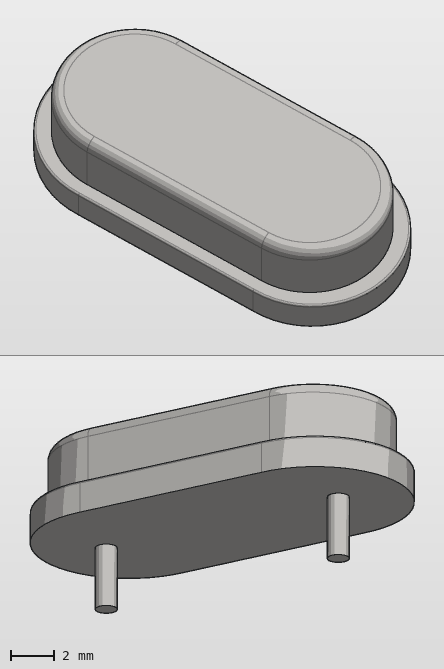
import cadquery as cq

base_length = 19.0
base_width = 9.02
base_height = 1.52
base_edge_fillet = 0.1
can_length = 17.35
can_width = 7.64
can_height = 2.98
can_top_fillet = 0.57
pin_diameter = 1.0
pin_length = 3.0
pin_spacing = 12.4

straight_length = can_length - can_width


def rounded_end_outline(length, width):
    """Two straight sides joined by an arc at each end, centred on the origin."""
    half_straight = straight_length / 2
    half_length = length / 2
    half_width = width / 2
    return (
        cq.Workplane("XY")
        .moveTo(-half_straight, -half_width)
        .lineTo(half_straight, -half_width)
        .threePointArc((half_length, 0), (half_straight, half_width))
        .lineTo(-half_straight, half_width)
        .threePointArc((-half_length, 0), (-half_straight, -half_width))
        .close()
    )


base = (
    rounded_end_outline(base_length, base_width)
    .extrude(base_height)
    .faces(">Z")
    .edges()
    .fillet(base_edge_fillet)
)

can = (
    rounded_end_outline(can_length, can_width)
    .extrude(base_height + can_height)
    .faces(">Z")
    .edges()
    .fillet(can_top_fillet)
)

pins = (
    cq.Workplane("XY")
    .pushPoints([(-pin_spacing / 2, 0), (pin_spacing / 2, 0)])
    .circle(pin_diameter / 2)
    .extrude(-pin_length)
)

result = base.union(can).union(pins)